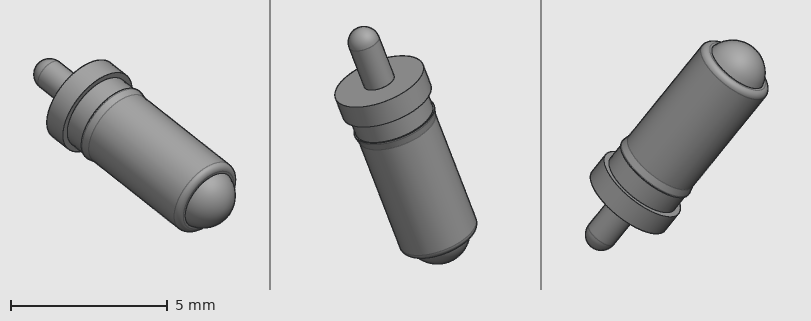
import cadquery as cq
import math

tail_radius = 0.51
tail_length = 2.0
flange_radius = 1.5
flange_end = 0.76
neck_radius = 1.31
body_radius = 1.30

ridge_radius = 1.36
ridge_start = 1.47
land_end = 1.52
taper_end = 1.76

body_end = 5.99
end_round_radius = 0.21
tip_x = 6.76
dome_base_radius = 1.01

dome_height = tip_x - body_end
dome_radius = (dome_base_radius**2 + dome_height**2) / (2 * dome_height)
dome_center_x = tip_x - dome_radius
dome_half_angle = math.asin(dome_base_radius / dome_radius) / 2


def arc_point(center_x, center_r, radius, angle):
    """Point on a profile arc, with the angle measured from +X."""
    return (center_x + radius * math.cos(angle), center_r + radius * math.sin(angle))


tail_mid = arc_point(tail_radius - tail_length, 0, tail_radius, math.radians(135))
round_mid = arc_point(
    body_end - end_round_radius, body_radius - end_round_radius, end_round_radius, math.radians(45)
)
dome_mid = arc_point(dome_center_x, 0, dome_radius, dome_half_angle)

profile = (
    cq.Workplane("XY")
    .moveTo(-tail_length, 0)
    .threePointArc(tail_mid, (tail_radius - tail_length, tail_radius))
    .lineTo(0, tail_radius)
    .lineTo(0, flange_radius)
    .lineTo(flange_end, flange_radius)
    .lineTo(flange_end, neck_radius)
    .lineTo(ridge_start, neck_radius)
    .lineTo(ridge_start, ridge_radius)
    .lineTo(land_end, ridge_radius)
    .lineTo(taper_end, body_radius)
    .lineTo(body_end - end_round_radius, body_radius)
    .threePointArc(round_mid, (body_end, body_radius - end_round_radius))
    .lineTo(body_end, dome_base_radius)
    .threePointArc(dome_mid, (tip_x, 0))
    .close()
)

result = profile.revolve(360, (0, 0, 0), (1, 0, 0))